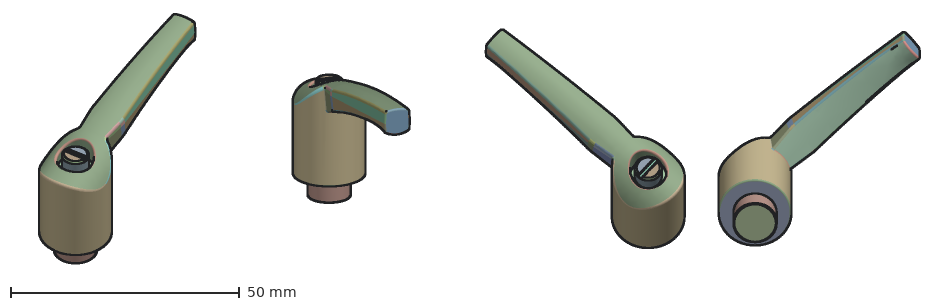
import cadquery as cq
import math

overall_length = 52.0
hub_diameter = 16.0
hub_bottom = 5.05
hub_bottom_round = 0.35
stud_diameter = 9.5
stud_chamfer = 0.2
hub_radius = hub_diameter / 2
tip_y = overall_length - hub_radius
blank_top = 41.6

ridge_tip = (tip_y, 36.0)
ridge_middle = (16.5, 31.6)
ridge_front = (-hub_radius, 24.6)
crown_radius = 9.2
crown_depth = 57.2
top_round = 0.75

parting_angle = 8.2
parting_z = 26.5
root_half_width = 2.95
root_y = 1.55
widest_half_width = 4.2
widest_y = 12.85
tip_half_width = 2.9
tip_overrun = 2.6
side_height = 11.45
side_draft = 4.0
waist_round = 10.4
tip_round = 0.4
bottom_round = 0.5

neck_y = 7.7
neck_z = 22.4
neck_round = 0.25

belly_half_width = 4.7
belly_stations = [
    (tip_y, 29.75, 3.1),
    (38.05, 30.2, 1.15),
    (32.75, 29.65, 0.5),
    (24.15, 27.85, 0.3),
    (14.35, 24.95, 0.25),
    (neck_y, neck_z, 0.25),
    (0.0, 19.25, 0.25),
]

recess_diameter = 8.0
recess_floor = 23.4
recess_round = 0.4
screw_diameter = 6.0
screw_top = 27.35
screw_chamfer = 0.45
slot_width = 1.0
slot_depth = 0.4

embed = 0.5

edge_margin = 0.5
waist_reach = 2.1
neck_reach = 1.05


def zone(y_low, y_high, z_low=0.0, half_width=hub_diameter):
    """Selector for edges centred between two Y values and above a given Z."""
    return cq.selectors.BoxSelector((-half_width, y_low, z_low), (half_width, y_high, blank_top))


def circle_centre(a, b, c):
    """Centre of the circle through three points."""
    sa, sb, sc = (u**2 + v**2 for u, v in (a, b, c))
    d = 2 * (a[0] * (b[1] - c[1]) + b[0] * (c[1] - a[1]) + c[0] * (a[1] - b[1]))
    u = (sa * (b[1] - c[1]) + sb * (c[1] - a[1]) + sc * (a[1] - b[1])) / d
    v = (sa * (c[0] - b[0]) + sb * (a[0] - c[0]) + sc * (b[0] - a[0])) / d
    return u, v


def make_crown():
    """Space below the crowned top: an arched section revolved about a far axis along X."""
    axis_y, axis_z = circle_centre(ridge_tip, ridge_middle, ridge_front)
    ridge_top = axis_z + math.hypot(ridge_tip[0] - axis_y, ridge_tip[1] - axis_z)
    arch_z = ridge_top - crown_radius
    floor_z = ridge_top - crown_depth
    section = (
        cq.Workplane("XZ", origin=(0, axis_y, 0))
        .moveTo(-crown_radius, floor_z)
        .lineTo(-crown_radius, arch_z)
        .threePointArc((0, ridge_top), (crown_radius, arch_z))
        .lineTo(crown_radius, floor_z)
        .close()
    )
    return section.revolve(360, (0, axis_z, 0), (1, axis_z, 0))


def make_belly():
    """Space above the underside: arched sections joined smoothly along the arm."""
    sections = []
    for y, keel_z, rise in belly_stations:
        edge_z = keel_z + rise
        section = (
            cq.Workplane("XZ", origin=(0, y, 0))
            .moveTo(-belly_half_width, edge_z)
            .threePointArc((0, keel_z), (belly_half_width, edge_z))
            .lineTo(belly_half_width, blank_top)
            .lineTo(-belly_half_width, blank_top)
            .close()
        )
        sections.append(section.val())
    return cq.Workplane(cq.Solid.makeLoft(sections))


def make_arm():
    """Tapered arm with drafted sides and a rounded underside, still open to the crown above."""
    angle = math.radians(parting_angle)
    plane = cq.Plane((0, 0, parting_z), (1, 0, 0), (0, -math.sin(angle), math.cos(angle)))
    right_side = [
        (root_half_width, root_y / math.cos(angle)),
        (widest_half_width, widest_y / math.cos(angle)),
        (tip_half_width, (tip_y + tip_overrun) / math.cos(angle)),
    ]
    left_side = [(-x, y) for x, y in reversed(right_side)]
    outline = right_side + left_side
    upper = cq.Workplane(plane).polyline(outline).close().extrude(side_height, taper=side_draft)
    lower = cq.Workplane(plane).polyline(outline).close().extrude(-side_height, taper=side_draft)
    prism = upper.union(lower)
    prism = prism.edges(zone(widest_y - waist_reach, widest_y + waist_reach)).fillet(waist_round)
    arm = prism.intersect(make_belly())
    return arm.faces("%BSPLINE").edges(zone(root_y + edge_margin, tip_y - edge_margin)).fillet(bottom_round)


def make_hub():
    hub = cq.Workplane("XY", origin=(0, 0, hub_bottom)).circle(hub_radius).extrude(blank_top - hub_bottom)
    return hub.faces("<Z").edges().fillet(hub_bottom_round)


def make_handle():
    """Hub and arm in one, with the neck corners, the crowned top and the tip rounded."""
    handle = make_hub().union(make_arm())
    handle = handle.edges(zone(neck_y - neck_reach, neck_y, neck_z + edge_margin)).fillet(neck_round)
    handle = handle.intersect(make_crown())
    top_edges = zone(-hub_radius, tip_y - edge_margin, neck_z - edge_margin)
    handle = handle.faces("%TORUS").edges(top_edges).fillet(top_round)
    return handle.faces(">Y").edges().fillet(tip_round)


def cut_recess(body):
    recess_radius = recess_diameter / 2
    recess = cq.Workplane("XY", origin=(0, 0, recess_floor)).circle(recess_radius).extrude(blank_top)
    rim = zone(-recess_radius, recess_radius, recess_floor + edge_margin, recess_radius)
    return body.cut(recess).edges(rim).edges("%BSPLINE").fillet(recess_round)


def make_screw():
    screw = (
        cq.Workplane("XY", origin=(0, 0, recess_floor - embed))
        .circle(screw_diameter / 2)
        .extrude(screw_top - recess_floor + embed)
        .faces(">Z")
        .chamfer(screw_chamfer)
    )
    slot = cq.Workplane("XY", origin=(0, 0, screw_top)).rect(screw_diameter, slot_width).extrude(-slot_depth)
    return screw.cut(slot)


def make_stud():
    stud = cq.Workplane("XY").circle(stud_diameter / 2).extrude(hub_bottom + embed)
    return stud.faces("<Z").chamfer(stud_chamfer)


result = cut_recess(make_handle()).union(make_stud()).union(make_screw())